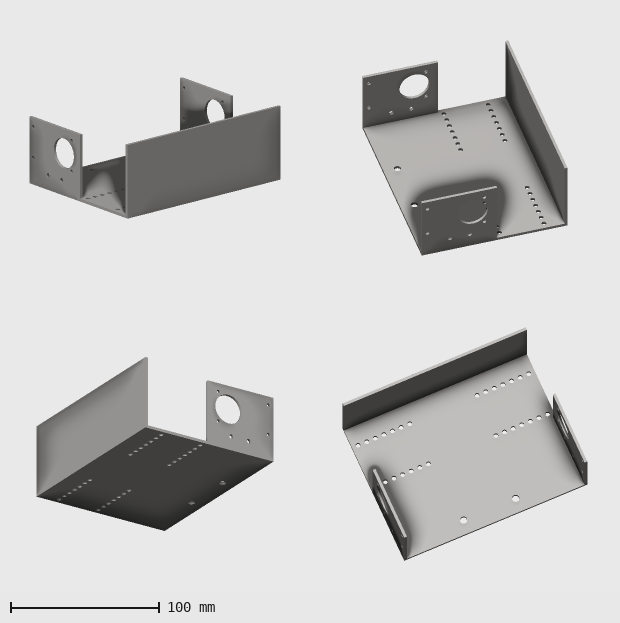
import cadquery as cq

length = 102.7
width = 134.6
height = 52.0
sheet = 2.0

negative_plate_length = 53.0
positive_plate_length = 52.6
plate_top = 47.1

shaft_diameter = 21.0
shaft_x = 36.1
shaft_z = 29.9
corner_diameter = 2.5
corner_xs = (4.0, 44.2)
corner_offset_z = 10.9
foot_diameter = 3.1
foot_xs = (19.8, 33.8)
foot_z = 10.2

mount_diameter = 5.0
mount_x = 9.8
mount_ys = (19.4, -19.0)
row_diameter = 3.2
row_count = 7
row_pitch = 6.3
row_centre_y = 43.82
positive_row_xs = (56.0, 87.2)
negative_row_xs = (56.1, 87.5)


def block(x, y, z, size_x, size_y, size_z):
    """Box with its lowest corner at (x, y, z)."""
    return cq.Workplane("XY").box(size_x, size_y, size_z, centered=False).translate((x, y, z))


def floor_hole(x, y, diameter):
    return cq.Workplane("XY").center(x, y).circle(diameter / 2).extrude(sheet)


def plate_hole(x, z, diameter):
    """Cylinder along Y that passes through both side plates."""
    return cq.Workplane("XZ").center(x, z).circle(diameter / 2).extrude(width / 2, both=True)


floor = block(0, -width / 2, 0, length, width, sheet)
back_wall = block(length - sheet, -width / 2, 0, sheet, width, height)
negative_plate = block(0, -width / 2, 0, negative_plate_length, sheet, plate_top)
positive_plate = block(0, width / 2 - sheet, 0, positive_plate_length, sheet, plate_top)
result = floor.union(back_wall).union(negative_plate).union(positive_plate)

result = result.cut(plate_hole(shaft_x, shaft_z, shaft_diameter))
for x in corner_xs:
    for z in (shaft_z - corner_offset_z, shaft_z + corner_offset_z):
        result = result.cut(plate_hole(x, z, corner_diameter))
for x in foot_xs:
    result = result.cut(plate_hole(x, foot_z, foot_diameter))

for y in mount_ys:
    result = result.cut(floor_hole(mount_x, y, mount_diameter))

for centre_y, row_xs in ((row_centre_y, positive_row_xs), (-row_centre_y, negative_row_xs)):
    for i in range(row_count):
        y = centre_y + (i - (row_count - 1) / 2) * row_pitch
        for x in row_xs:
            result = result.cut(floor_hole(x, y, row_diameter))